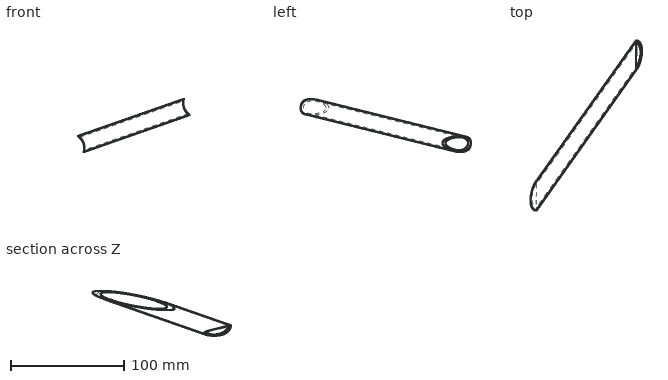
import cadquery as cq

OUTER_DIAMETER = 15.0
WALL = 1.5
AXIS_DIRECTION = cq.Vector(20.0, 28.2, 7.0)
BLANK_LENGTH = 225.3

SADDLE_RADIUS = 12.8
SADDLE_CENTRE_X = 56.5
SADDLE_CENTRE_Z = 19.8


def make_tube():
    """Square-ended tube blank lying along the inclined axis."""
    start = AXIS_DIRECTION.normalized() * (-BLANK_LENGTH / 2)
    end_plane = cq.Plane(origin=start.toTuple(), normal=AXIS_DIRECTION.toTuple())
    outer_radius = OUTER_DIAMETER / 2
    section = cq.Workplane(end_plane).circle(outer_radius).circle(outer_radius - WALL)
    return section.extrude(BLANK_LENGTH)


def make_trim_body():
    """Body between the two saddle cylinders; each concave end fits its bar."""
    body = cq.Workplane("XZ").rect(2 * SADDLE_CENTRE_X, BLANK_LENGTH)
    body = body.extrude(BLANK_LENGTH / 2, both=True)
    for side in (-1, 1):
        bar = cq.Workplane("XZ").center(side * SADDLE_CENTRE_X, side * SADDLE_CENTRE_Z)
        body = body.cut(bar.circle(SADDLE_RADIUS).extrude(BLANK_LENGTH / 2, both=True))
    return body


result = make_tube().intersect(make_trim_body())